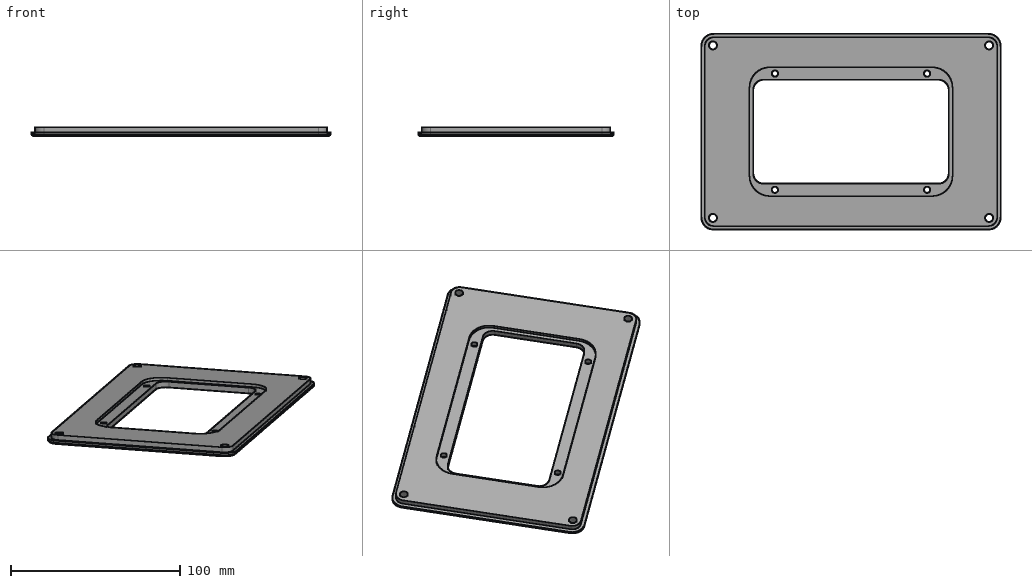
import cadquery as cq

length = 177.1
width = 115.8
thickness = 5.3
flange_thickness = 2.3
flange_chamfer = 1.0
corner_radius = 7.3

panel_inset = 2.1

window_length = 115.5
window_width = 61.3
window_radius = 6.0
recess_length = 120.0
recess_width = 76.2
recess_radius = 12.0
recess_depth = 1.8

corner_hole_diameter = 4.6
corner_hole_spacing_x = 163.3
corner_hole_spacing_y = 102.0
recess_hole_diameter = 3.5
recess_hole_spacing_x = 90.0
recess_hole_spacing_y = 68.7


def rounded_block(size_x, size_y, radius, bottom, top):
    """Centred block with rounded vertical corners between two heights."""
    block = cq.Workplane("XY").workplane(offset=bottom).rect(size_x, size_y).extrude(top - bottom)
    return block.edges("|Z").fillet(radius)


def four_holes(spacing_x, spacing_y, diameter):
    """Full-height cylinders at the corners of a centred rectangle."""
    corners = cq.Workplane("XY").rect(spacing_x, spacing_y, forConstruction=True).vertices()
    return corners.circle(diameter / 2).extrude(thickness)


flange = rounded_block(length, width, corner_radius, 0, flange_thickness)
flange = flange.faces("<Z").edges().chamfer(flange_chamfer)

panel = rounded_block(
    length - 2 * panel_inset,
    width - 2 * panel_inset,
    corner_radius - panel_inset,
    flange_thickness,
    thickness,
)

window = rounded_block(window_length, window_width, window_radius, 0, thickness)
recess = rounded_block(recess_length, recess_width, recess_radius, thickness - recess_depth, thickness)
corner_holes = four_holes(corner_hole_spacing_x, corner_hole_spacing_y, corner_hole_diameter)
recess_holes = four_holes(recess_hole_spacing_x, recess_hole_spacing_y, recess_hole_diameter)

result = flange.union(panel).cut(recess).cut(window).cut(corner_holes).cut(recess_holes)